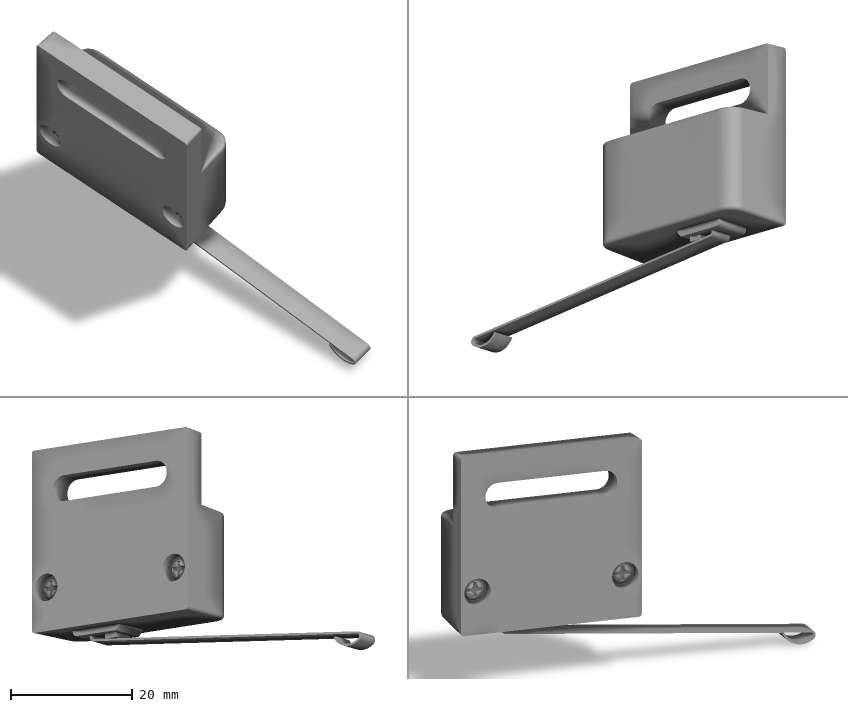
import cadquery as cq
import math


cover_width = 31.95
cover_height = 30.9
cover_depth = 4.05
draft_angle = 2.0
edge_radius = 0.5

slot_length = 23.3
slot_width = 4.4
slot_z = 23.7

screw_spacing = 26.1
screw_z = 7.4
recess_diameter = 4.6
recess_depth = 1.9
head_diameter = 3.85
head_height = 1.0
cross_length = 2.95
cross_width = 0.9
cross_depth = 0.8
cross_taper = 15.0
cross_center_diameter = 1.8
cross_center_taper = 30.0

total_depth = 12.55
box_top = 18.5
box_corner_radius = 2.95

actuator_y = 6.25
foot_left = 6.2
foot_right = 15.75
foot_top = 0.5
foot_bottom = -0.85
foot_rounding = 0.8
foot_bevel = 0.8
foot_width = 6.4
plunger_x = 13.0
plunger_length = 2.2
plunger_bottom = -1.7
plunger_edge_radius = 0.25
lever_thickness = 0.4
lever_width = 4.0
lever_angle = math.radians(6)
lever_left = 8.95
root_bend_radius = 0.6
nose_bend_radius = 0.65
curl_radius = 3.4
curl_x = 61.8
curl_z = -5.7
curl_tip_angle = math.radians(60)

cover_middle = cover_width / 2
draft_inset = cover_depth * math.tan(math.radians(draft_angle))
screw_places = [cover_middle - screw_spacing / 2, cover_middle + screw_spacing / 2]


def facing_back(x, y, z):
    """Workplane whose extrusions run toward +Y; its local y axis points down."""
    return cq.Workplane(cq.Plane(origin=(x, y, z), xDir=(1, 0, 0), normal=(0, 1, 0)))


def make_cover():
    plate = (
        facing_back(cover_middle, 0, cover_height / 2)
        .rect(cover_width, cover_height)
        .extrude(cover_depth, taper=draft_angle)
        .edges("not(|X or |Z)")
        .fillet(edge_radius)
    )
    slot = facing_back(cover_middle, 0, slot_z).slot2D(slot_length, slot_width).extrude(cover_depth)
    plate = plate.cut(slot)
    for x in screw_places:
        recess = facing_back(x, 0, screw_z).circle(recess_diameter / 2).extrude(recess_depth)
        plate = plate.cut(recess)
    return plate


def make_box():
    """Box that carries on the drafted sides and bottom of the cover."""
    box_height = box_top - draft_inset
    return (
        facing_back(cover_middle, cover_depth, draft_inset + box_height / 2)
        .rect(cover_width - 2 * draft_inset, box_height)
        .extrude(total_depth - cover_depth, taper=draft_angle)
        .faces(">Y").edges("|Z").fillet(box_corner_radius)
        .faces(">Z").edges("not(<Y)").fillet(edge_radius)
        .faces("<Z").edges("not(<Y)").fillet(edge_radius)
    )


def make_screw(x):
    """Domed head on the recess floor, with a tapered cross socket and a conical middle."""
    head_radius = head_diameter / 2
    dome_radius = (head_radius**2 + head_height**2) / (2 * head_height)
    floor = facing_back(x, recess_depth, screw_z)
    crown_y = recess_depth - head_height
    dome = cq.Workplane("XY").sphere(dome_radius).translate((x, crown_y + dome_radius, screw_z))
    head = floor.circle(head_radius).extrude(-head_height).intersect(dome)
    for length, width in [(cross_length, cross_width), (cross_width, cross_length)]:
        socket = (
            facing_back(x, crown_y, screw_z)
            .rect(length, width)
            .extrude(cross_depth, taper=cross_taper)
        )
        head = head.cut(socket)
    center_cone = (
        facing_back(x, crown_y, screw_z)
        .circle(cross_center_diameter / 2)
        .extrude(cross_depth, taper=cross_center_taper)
    )
    return head.cut(center_cone)


def lever_path():
    """Centreline of the lever: upright end, root bend, sloping arm, nose bend, curl."""
    along = cq.Vector(math.cos(lever_angle), 0, -math.sin(lever_angle))
    below = cq.Vector(-math.sin(lever_angle), 0, -math.cos(lever_angle))

    contact = cq.Vector(plunger_x - plunger_length / 2, 0, plunger_bottom) + below * (lever_thickness / 2)

    root_x = lever_left + root_bend_radius
    root_reach = root_x - (contact - below * root_bend_radius).x
    root_center = contact - below * root_bend_radius + along * (root_reach / along.x)
    root_start = root_center - cq.Vector(root_bend_radius, 0, 0)
    root_middle = root_center + (below - cq.Vector(1, 0, 0)).normalized() * root_bend_radius
    arm_start = root_center + below * root_bend_radius

    curl_center = cq.Vector(curl_x, 0, curl_z)
    offset = contact + below * nose_bend_radius - curl_center
    forward = offset.dot(along)
    center_gap = curl_radius - nose_bend_radius
    nose_reach = -forward + math.sqrt(forward**2 - offset.dot(offset) + center_gap**2)
    arm_end = contact + along * nose_reach
    nose_center = arm_end + below * nose_bend_radius
    outward = (nose_center - curl_center).normalized()
    nose_middle = nose_center + (outward - below).normalized() * nose_bend_radius
    curl_start = curl_center + outward * curl_radius

    curl_bottom = curl_center - cq.Vector(0, 0, curl_radius)
    curl_tip = curl_center - cq.Vector(math.sin(curl_tip_angle), 0, math.cos(curl_tip_angle)) * curl_radius

    edges = [
        cq.Edge.makeLine(cq.Vector(lever_left, 0, foot_bottom), root_start),
        cq.Edge.makeThreePointArc(root_start, root_middle, arm_start),
        cq.Edge.makeLine(arm_start, arm_end),
        cq.Edge.makeThreePointArc(arm_end, nose_middle, curl_start),
        cq.Edge.makeThreePointArc(curl_start, curl_bottom, curl_tip),
    ]
    return cq.Wire.assembleEdges(edges)


def make_actuator(cover, box):
    """Foot on the underside of the housing, with plunger and lever in one piece."""
    foot = (
        cq.Workplane("XZ")
        .moveTo(foot_left, foot_top)
        .lineTo(foot_left, foot_bottom + foot_rounding)
        .radiusArc((foot_left + foot_rounding, foot_bottom), -foot_rounding)
        .lineTo(foot_right - foot_bevel, foot_bottom)
        .lineTo(foot_right, foot_bottom + foot_bevel)
        .lineTo(foot_right, foot_top)
        .close()
        .extrude(foot_width / 2, both=True)
    )
    plunger = (
        cq.Workplane("XY", origin=(plunger_x, 0, plunger_bottom))
        .rect(plunger_length, lever_width)
        .extrude(foot_bottom - plunger_bottom)
        .faces("<Z").edges("|Y").fillet(plunger_edge_radius)
    )
    lever = (
        cq.Workplane("XY", origin=(lever_left, 0, foot_bottom))
        .rect(lever_thickness, lever_width)
        .sweep(lever_path())
    )
    actuator = foot.union(plunger).union(lever).translate((0, actuator_y, 0))
    return actuator.cut(cover).cut(box)


cover = make_cover()
box = make_box()
actuator = make_actuator(cover, box)
screws = [make_screw(x) for x in screw_places]

result = cq.Compound.makeCompound(
    [body.solids().val() for body in [cover, box, actuator, *screws]]
)